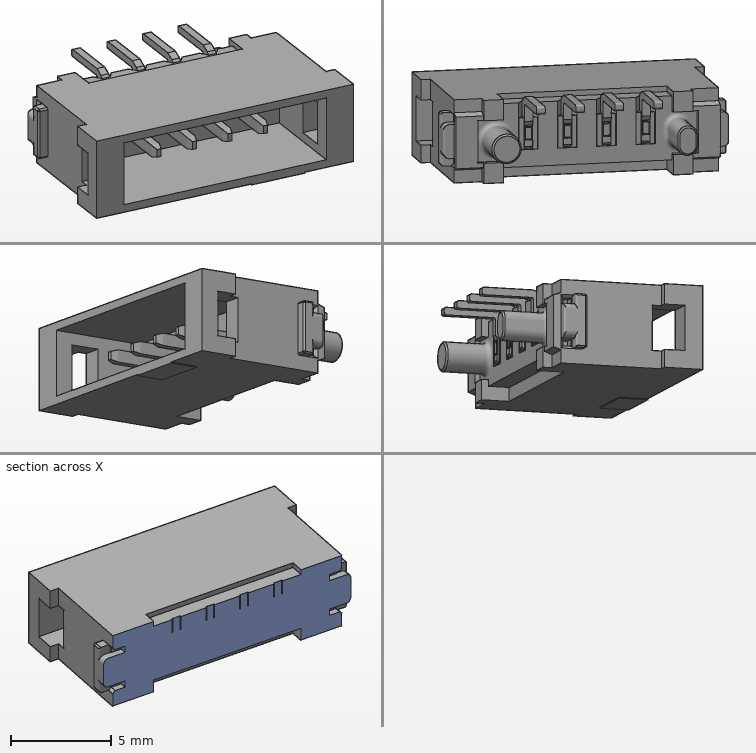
import cadquery as cq


mating_face_x = 10.25
rear_face_x = 2.96
body_height = 4.23
mid_z = body_height / 2
body_width = 13.52
flange_width = 14.5
flange_rear_x = 8.23

cavity_rear_x = 5.25
cavity_width = 11.42
cavity_wall = 0.42
window_rear_x = 7.75
window_front_x = 9.3
window_bottom = 0.9
window_top = 3.2

foot_rear_x = 2.48
foot_inner_y = 4.34
foot_outer_y = 5.35
plate_rear_x = 2.57
plate_height = 2.63
plate_root_height = 2.92
peg_face_x = 2.83
peg_pocket_half_width = 5.64
peg_pocket_height = 2.16
relief_front_x = 3.93
top_relief_depth = 0.28
bottom_relief_depth = 0.7

peg_y = 4.63
peg_tip_x = 0.48
peg_diameter = 1.5
oval_peg_width = 1.01
peg_tip_chamfer = 0.09
peg_root_fillet = 0.25
edge_search_margin = 0.03

pin_count = 4
pin_pitch = 2.0
pin_width = 0.44
tail_rise = 0.051
tail_top = body_height + tail_rise
tail_bottom = 3.9
tail_tip_round = 0.12
leg_rear_x = 2.7
leg_front_x = 3.24
knee_start_x = 2.69
knee_slope_x = 3.12
knee_slope_z = 4.09
knee_front_x = 3.27
knee_front_top = 3.94
knee_front_bottom = 3.72
leg_heel_z = 3.02
neck_rear_x = 2.8
neck_top = 2.8
bend_fillet = 0.13
post_height = 0.63
post_tip_x = 8.88
post_tip_length = 0.38
post_tip_chamfer = 0.1
slot_mouth_width = 1.01
slot_bottom = 1.56
slot_shelf_z = 3.18
slot_shelf_x = 2.88
nub_rear_x = 2.76
nub_bottom = 1.59
nub_split_z = 2.06
nub_top = 2.76
nub_bottom_chamfer = 0.15
coined_chamfer = 0.06

clip_outer_y = 7.3
clip_pocket_front_x = 3.68
clip_stem_front_x = 3.8
clip_bar_rear_x = 3.58
clip_bar_front_x = 4.16
clip_bar_height = 2.72
clip_stem_height = 1.74
clip_stem_round = 0.3
clip_rear_round = 0.1
clip_edge_chamfer = 0.09
clip_pocket_depth = 0.73
clip_pocket_lead_in = 0.15

mark_rear_x = 8.73
mark_inner_y = 1.47
mark_outer_y = 4.5
mark_thickness = 0.051


def block(x0, x1, y0, y1, z0, z1):
    return cq.Workplane("XY").box(x1 - x0, y1 - y0, z1 - z0, centered=False).translate((x0, y0, z0))


def centered_block(x0, x1, width, z0, z1):
    return block(x0, x1, -width / 2, width / 2, z0, z1)


def side_profile(points, width):
    """Extrude an XZ outline symmetrically about Y = 0."""
    return cq.Workplane("XZ").polyline(points).close().extrude(width / 2, both=True)


def both_sides(shape):
    return shape.union(shape.mirror("XZ"))


def make_housing():
    """Housing with its rear feet, plates, mating cavity and side windows."""
    body = centered_block(rear_face_x, mating_face_x, body_width, 0, body_height)
    flange = centered_block(flange_rear_x, mating_face_x, flange_width, 0, body_height)
    foot = block(foot_rear_x, relief_front_x, foot_inner_y, foot_outer_y, 0, body_height)
    core = centered_block(
        peg_face_x, relief_front_x, 2 * foot_outer_y, bottom_relief_depth, body_height - top_relief_depth
    )
    housing = body.union(flange).union(core).union(both_sides(foot))

    plates = side_profile(
        [
            (plate_rear_x, mid_z - plate_height / 2),
            (plate_rear_x, mid_z + plate_height / 2),
            (rear_face_x, mid_z + plate_root_height / 2),
            (rear_face_x, mid_z - plate_root_height / 2),
        ],
        body_width,
    )
    plates = plates.cut(centered_block(plate_rear_x, rear_face_x, 2 * foot_outer_y, 0, body_height))
    housing = housing.union(plates)

    housing = housing.cut(
        centered_block(
            foot_rear_x, peg_face_x, 2 * peg_pocket_half_width,
            mid_z - peg_pocket_height / 2, mid_z + peg_pocket_height / 2,
        )
    )

    relief_z = [(body_height - top_relief_depth, body_height), (0, bottom_relief_depth)]
    for z0, z1 in relief_z:
        housing = housing.cut(centered_block(foot_rear_x, relief_front_x, 2 * foot_inner_y, z0, z1))

    cavity = centered_block(
        cavity_rear_x, mating_face_x, cavity_width, cavity_wall, body_height - cavity_wall
    )
    windows = centered_block(window_rear_x, window_front_x, flange_width, window_bottom, window_top)
    mark = block(mark_rear_x, mating_face_x, mark_inner_y, mark_outer_y, -mark_thickness, cavity_wall)
    return housing.union(mark).cut(cavity).cut(windows)


def add_peg(housing, y, width):
    """Add a full-height locating peg, flattened across Y when narrower than it is tall."""
    plane = cq.Workplane("YZ", origin=(peg_tip_x, y, mid_z))
    if width == peg_diameter:
        outline = plane.circle(peg_diameter / 2)
    else:
        outline = plane.slot2D(peg_diameter, width, 90)
    peg = outline.extrude(relief_front_x - peg_tip_x).faces("<X").chamfer(peg_tip_chamfer)

    reach = peg_diameter / 2 + edge_search_margin
    root_edges = cq.selectors.BoxSelector(
        (peg_face_x - edge_search_margin, y - reach, mid_z - reach),
        (peg_face_x + edge_search_margin, y + reach, mid_z + reach),
        boundingbox=True,
    )
    return housing.union(peg).edges(root_edges).fillet(peg_root_fillet)


def make_slot():
    """V-shaped terminal slot, shallow below the shelf and full depth above it."""
    slot_top = body_height - top_relief_depth
    wedge = (
        cq.Workplane("XY", origin=(0, 0, slot_bottom))
        .polyline(
            [
                (peg_face_x, -slot_mouth_width / 2),
                (leg_front_x, -pin_width / 2),
                (leg_front_x, pin_width / 2),
                (peg_face_x, slot_mouth_width / 2),
            ]
        )
        .close()
        .extrude(slot_top - slot_bottom)
    )
    shelf = centered_block(slot_shelf_x, leg_front_x, slot_mouth_width, slot_bottom, slot_shelf_z)
    return wedge.cut(shelf)


def make_pin():
    """Terminal: bent tail and leg, the formed nub at its foot and the mating post."""
    post_bottom = mid_z - post_height / 2
    post_top = mid_z + post_height / 2
    bent = side_profile(
        [
            (0, tail_bottom),
            (0, tail_top),
            (knee_start_x, tail_top),
            (knee_slope_x, knee_slope_z),
            (knee_front_x, knee_front_top),
            (leg_front_x, knee_front_bottom),
            (leg_front_x, post_bottom),
            (neck_rear_x, post_bottom),
            (neck_rear_x, neck_top),
            (leg_rear_x, leg_heel_z),
            (leg_rear_x, tail_bottom),
        ],
        pin_width,
    )
    bent = bent.faces("<X").edges("|Y").fillet(tail_tip_round)
    inner_bend = cq.selectors.NearestToPointSelector((leg_rear_x, 0, tail_bottom))
    bent = bent.edges("|Y").edges(inner_bend).fillet(bend_fillet)

    nub = centered_block(nub_rear_x, leg_front_x, pin_width, nub_bottom, nub_split_z)
    nub = nub.faces("<X").edges("<Z").chamfer(nub_bottom_chamfer)
    coined = centered_block(nub_rear_x, leg_front_x, pin_width, nub_split_z, nub_top)
    coined = coined.faces("<X").chamfer(coined_chamfer)

    taper_x = post_tip_x - post_tip_length
    post = centered_block(leg_front_x, taper_x, pin_width, post_bottom, post_top)
    tip = (
        cq.Workplane("YZ", origin=(taper_x, 0, mid_z))
        .rect(pin_width, post_height)
        .workplane(offset=post_tip_length)
        .rect(pin_width - 2 * post_tip_chamfer, post_height - 2 * post_tip_chamfer)
        .loft()
    )
    return bent.union(nub).union(coined).union(post).union(tip)


def make_clip_pocket():
    """Recess in the -Y side of the housing, behind the clip, with a 45 degree lead-in all round."""
    length = clip_pocket_front_x - rear_face_x
    mouth = cq.Workplane(
        "XZ", origin=((rear_face_x + clip_pocket_front_x) / 2, -body_width / 2, mid_z)
    )
    lead_in = mouth.rect(length, clip_bar_height).extrude(-clip_pocket_lead_in, taper=45)
    well = mouth.rect(
        length - 2 * clip_pocket_lead_in, clip_bar_height - 2 * clip_pocket_lead_in
    ).extrude(-clip_pocket_depth)
    return lead_in.union(well)


def make_clip():
    """T-shaped clip on the -Y side: an upright bar carried by a rounded stem."""
    inner_y = clip_pocket_depth - body_width / 2
    stem = block(
        rear_face_x, clip_stem_front_x, -clip_outer_y, inner_y,
        mid_z - clip_stem_height / 2, mid_z + clip_stem_height / 2,
    )
    rear_bend = stem.faces("<Y").edges("<X").fillet(clip_rear_round)
    stem = stem.faces("<Y").edges("|X").fillet(clip_stem_round).intersect(rear_bend)

    bar = block(
        clip_bar_rear_x, clip_bar_front_x, -clip_outer_y, inner_y,
        mid_z - clip_bar_height / 2, mid_z + clip_bar_height / 2,
    )
    bar = bar.faces(">X").edges("|Y").chamfer(clip_edge_chamfer)
    bar = bar.faces("<Y").edges("not <X").chamfer(clip_edge_chamfer)
    bar = bar.edges("<Y and <X").fillet(clip_rear_round)
    return stem.union(bar)


result = make_housing()
result = add_peg(result, peg_y, peg_diameter)
result = add_peg(result, -peg_y, oval_peg_width)
result = result.cut(both_sides(make_clip_pocket()))
result = result.union(both_sides(make_clip()))

slot = make_slot()
pin = make_pin()
for i in range(pin_count):
    pin_y = (i - (pin_count - 1) / 2) * pin_pitch
    result = result.cut(slot.translate((0, pin_y, 0)))
    result = result.union(pin.translate((0, pin_y, 0)))